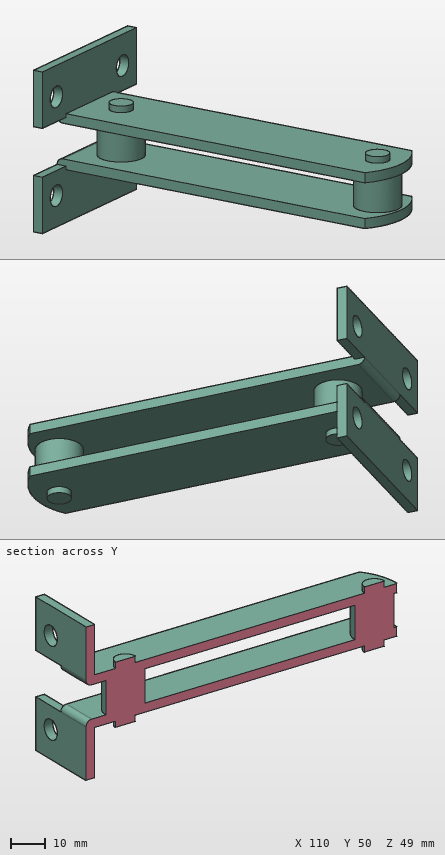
import cadquery as cq

length = 110.0
flange_width = 50.0
height = 49.0

sheet = 3.1
plate_gap = 10.8
arm_width = 25.0
tip_radius = 20.0
bend_radius = 2.0

hole_diameter = 6.5
hole_spacing = 35.1
hole_height = 15.0

pin_diameter = 7.0
spacer_diameter = 14.0
pin_length = 20.9
first_pin_x = 14.0
pin_spacing = 88.0

arm_bottom = plate_gap / 2
flange_bottom = arm_bottom + bend_radius
flange_height = height / 2 - flange_bottom


def make_arm():
    """Flat arm with a rounded tip and a rounded bend at the flange end."""
    strip = cq.Workplane("XY").box(length, arm_width, sheet, centered=(False, True, False))
    tip_disc = cq.Workplane("XY").center(length - tip_radius, 0).circle(tip_radius).extrude(sheet)
    body = cq.Workplane("XY").box(
        length - tip_radius, arm_width, sheet, centered=(False, True, False)
    )
    arm = strip.intersect(body.union(tip_disc))
    arm = arm.edges("<X and <Z").fillet(bend_radius)
    return arm.translate((0, 0, arm_bottom))


def make_flange():
    """Upright mounting flange with two through holes."""
    flange = cq.Workplane("XY").box(
        sheet, flange_width, flange_height, centered=(False, True, False)
    ).translate((0, 0, flange_bottom))
    holes = (
        cq.Workplane("YZ")
        .pushPoints([(side * hole_spacing / 2, hole_height) for side in (-1, 1)])
        .circle(hole_diameter / 2)
        .extrude(sheet)
    )
    return flange.cut(holes)


def make_cylinder(x, diameter, cylinder_length):
    """Upright cylinder centred on the XY plane."""
    return cq.Workplane("XY").cylinder(cylinder_length, diameter / 2).translate((x, 0, 0))


def make_pin(x):
    """Pin through both arms, with a spacer filling the gap between them."""
    pin = make_cylinder(x, pin_diameter, pin_length)
    spacer = make_cylinder(x, spacer_diameter, plate_gap)
    return pin.union(spacer)


upper_bracket = make_arm().union(make_flange())
result = upper_bracket.union(upper_bracket.mirror("XY"))
for pin_x in (first_pin_x, first_pin_x + pin_spacing):
    result = result.union(make_pin(pin_x))